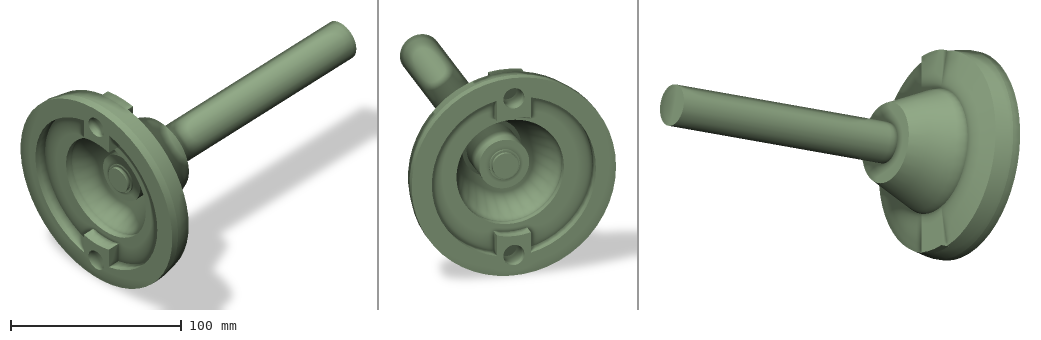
import cadquery as cq


rim_radius = 62.01
rim_band_height = 5.0
rim_top_radius = 59.9
rim_top_y = 16.0
recess_radius = 49.8
recess_depth = 8.0

cone_base_radius = 37.3
cone_base_y = 20.0
cone_top_radius = 24.0
cone_top_y = 52.9
cavity_mouth_radius = 32.5
cavity_lip_height = 5.0
cavity_end_radius = 17.8
cavity_end_y = 48.5
boss_radius = 15.2
boss_face_y = 21.1

lug_width = 20.5
lug_inner_radius = cone_base_radius
lug_outer_radius = 60.0
bolt_hole_radius = 6.4
bolt_hole_offset = 49.2
bolt_hole_depth = 15.4

spindle_radius = 12.3
spindle_end_y = 205.0
neck_radius = 7.8
neck_end_y = 18.0
ring_radius = 9.2
ring_thickness = 1.0


def cylinder(radius, start_y, end_y, center_z=0.0):
    """Solid cylinder parallel to Y."""
    base = cq.Workplane("XZ", origin=(0, start_y, center_z))
    return base.circle(radius).extrude(start_y - end_y)


def make_foot_shell():
    """Revolved profile: rim, recessed web, hollow cone and boss, with the spindle bore."""
    cavity_lip_y = recess_depth + cavity_lip_height
    profile = [
        (recess_radius, 0),
        (rim_radius, 0),
        (rim_radius, rim_band_height),
        (rim_top_radius, rim_top_y),
        (cone_base_radius, cone_base_y),
        (cone_top_radius, cone_top_y),
        (neck_radius, cone_top_y),
        (neck_radius, boss_face_y),
        (boss_radius, boss_face_y),
        (boss_radius, cavity_end_y),
        (cavity_end_radius, cavity_end_y),
        (cavity_mouth_radius, cavity_lip_y),
        (cavity_mouth_radius, recess_depth),
        (recess_radius, recess_depth),
    ]
    return cq.Workplane("XY").polyline(profile).close().revolve(360, (0, 0, 0), (0, 1, 0))


def make_lugs():
    """Pair of opposite lugs: a full-width bar trimmed to an annulus."""
    bar = cq.Workplane("XY").box(
        lug_width, cone_base_y, 2 * lug_outer_radius, centered=(True, False, True)
    )
    annulus = cylinder(lug_outer_radius, 0, cone_base_y).cut(
        cylinder(lug_inner_radius, 0, cone_base_y)
    )
    return bar.intersect(annulus)


def make_foot():
    foot = make_foot_shell().union(make_lugs())
    for side in (-1, 1):
        foot = foot.cut(cylinder(bolt_hole_radius, 0, bolt_hole_depth, side * bolt_hole_offset))
    return foot


def make_spindle():
    """Rod that shoulders on the cone top, with a thinner neck through the boss."""
    rod = cylinder(spindle_radius, cone_top_y, spindle_end_y)
    neck = cylinder(neck_radius, neck_end_y, cone_top_y)
    return rod.union(neck)


def make_retaining_ring():
    """Flat ring around the neck, seated on the boss face."""
    ring_front_y = boss_face_y - ring_thickness
    blank = cylinder(ring_radius, ring_front_y, boss_face_y)
    return blank.cut(cylinder(neck_radius, ring_front_y, boss_face_y))


foot = make_foot()
spindle = make_spindle()
retaining_ring = make_retaining_ring()

result = cq.Compound.makeCompound([foot.solids().val(), spindle.val(), retaining_ring.val()])